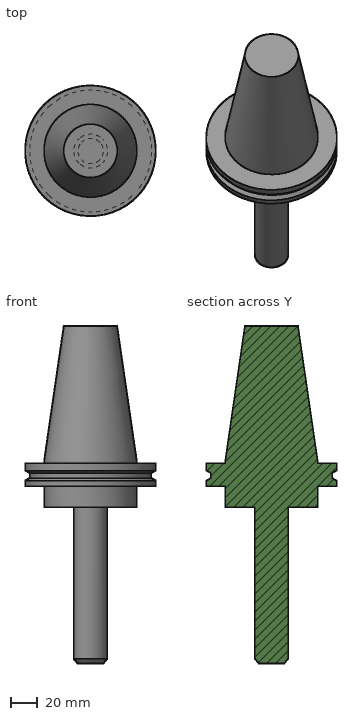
import cadquery as cq
import math


gauge_diameter = 69.85
taper_length = 101.6
taper_ratio = 7 / 24
taper_end_diameter = gauge_diameter - taper_ratio * taper_length

flange_diameter = 98.43
flange_top_z = -1.52
flange_bottom_z = -19.05
groove_center_z = -10.95
groove_floor_width = 3.7
groove_floor_diameter = 91.7
groove_flank_angle = 30

hub_bottom_z = -34.93

shank_diameter = 25.4
shank_bottom_z = -152.4
shank_chamfer_width = 3.175
shank_chamfer_height = 3.81


def cylinder(diameter, bottom_z, top_z):
    """Solid cylinder on the Z axis between two heights."""
    return cq.Workplane("XY").workplane(offset=bottom_z).circle(diameter / 2).extrude(top_z - bottom_z)


def revolve_profile(points):
    """Revolve a closed (radius, height) outline about the Z axis."""
    return cq.Workplane("XZ").polyline(points).close().revolve(360, (0, 0, 0), (0, 1, 0))


def make_taper():
    return revolve_profile([
        (0, 0),
        (gauge_diameter / 2, 0),
        (taper_end_diameter / 2, taper_length),
        (0, taper_length),
    ])


def make_flange():
    outer_radius = flange_diameter / 2
    floor_radius = groove_floor_diameter / 2
    flank_height = (outer_radius - floor_radius) * math.tan(math.radians(groove_flank_angle))
    floor_half_width = groove_floor_width / 2
    mouth_half_width = floor_half_width + flank_height
    groove = revolve_profile([
        (outer_radius, groove_center_z - mouth_half_width),
        (outer_radius, groove_center_z + mouth_half_width),
        (floor_radius, groove_center_z + floor_half_width),
        (floor_radius, groove_center_z - floor_half_width),
    ])
    return cylinder(flange_diameter, flange_bottom_z, flange_top_z).cut(groove)


def make_hub():
    """Cylinder from the gauge plane, through the flange, to the hub's lower face."""
    return cylinder(gauge_diameter, hub_bottom_z, 0)


def make_shank():
    shank = cylinder(shank_diameter, shank_bottom_z, hub_bottom_z)
    return shank.faces("<Z").chamfer(shank_chamfer_height, shank_chamfer_width)


result = make_taper().union(make_hub()).union(make_flange()).union(make_shank())